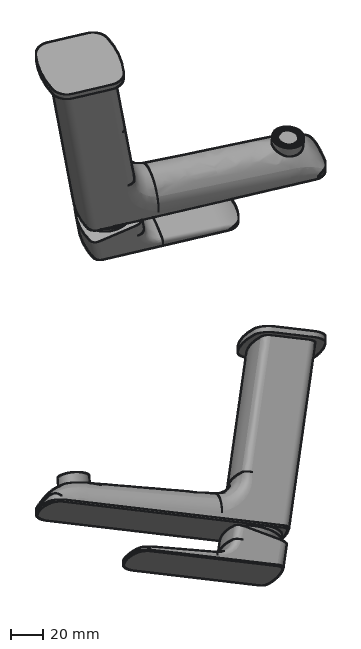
import cadquery as cq
import math


HALF_WIDTH = 18.58
COLUMN_DEPTH = 38.8
CORNER_DEPTH = 7.0
CORNER_RADIUS = 5.3
LEAN = math.radians(7.8)

TOTAL_HEIGHT = 155.3
FLANGE_THICKNESS = 4.0
FLANGE_OVERHANG = 5.4
FLANGE_DEPTH = 50.5
FLANGE_BASE = TOTAL_HEIGHT - FLANGE_THICKNESS
FLANGE_CENTRE_Y = FLANGE_DEPTH / 2
COLUMN_CENTRE_Y = 25.8

ARM_SLOPE = math.radians(2)
SPOUT_BASE = 26.0
SPOUT_TIP_Y = 183.1
SPOUT_SHOULDER_Y = 156.7
SPOUT_SHOULDER_Z = 45.8
SPOUT_CORNER_DEPTH = 17.5
SPOUT_CORNER_RADIUS = 16.5
SPOUT_BLEND = 13.7
LEVER_TIP_Y = 126.5
LEVER_SHOULDER_Y = 111.0
LEVER_SHOULDER_Z = 5.7
LEVER_CORNER_DEPTH = 4.4
LEVER_CORNER_RADIUS = 2.7
LEVER_BLEND = 9.9
TIP_EDGE = 1.5
TIP_CORNER_DEPTH = 11.0
TIP_CORNER_RADIUS = 9.2
TIP_STATIONS = 5
BLEND_STATIONS = 5
BLEND_DEPTH = 21.2
BLEND_OVERLAP = 0.11
BLEND_MARGIN = 0.5
SPOUT_CHAMFER = 1.1
LEVER_CHAMFER = 0.7

HANDLE_TOP_Y = 58.5
HANDLE_TOP_Z = 24.2
HANDLE_TILT = math.radians(14.5)

NECK_RADIUS = 17.0
NECK_RIM = 1.5
NECK_LOW_RADIUS = 12.8
NECK_MID_RADIUS = 15.4
NECK_HEIGHT = 8.8
NECK_EMBED = 7.3

AERATOR_Y = 160.5
AERATOR_RADIUS = 9.9
AERATOR_TOP = 49.8
AERATOR_TILT = 5.0
AERATOR_EMBED = 14.6
GROOVE_OUTER_RADII = (9.0, 7.3)
GROOVE_WIDTH = 1.0
GROOVE_DEPTH = 1.0


def crown(half_width, corner_depth, corner_radius):
    """Points of a bowed end with rounded corners; the crown is at (0, 0) and the body lies below it."""
    inset = half_width - corner_radius
    crown_radius = (inset**2 + corner_depth**2 - corner_radius**2) / (2 * (corner_depth - corner_radius))
    angle = math.asin(inset / (crown_radius - corner_radius))
    half_angle = (angle + math.pi / 2) / 2
    join = (crown_radius * math.sin(angle), crown_radius * (math.cos(angle) - 1))
    middle = (
        inset + corner_radius * math.sin(half_angle),
        corner_radius * math.cos(half_angle) - corner_depth,
    )
    side = (half_width, -corner_depth)
    return side, middle, join


def flattened(corner, share):
    return [(x, depth * share) for x, depth in corner]


def between(first, last, share):
    """Crown points part of the way from one crown to another."""
    return [
        (start[0] + share * (end[0] - start[0]), start[1] + share * (end[1] - start[1]))
        for start, end in zip(first, last)
    ]


def add_crown(sketch, top, corner, facing=1):
    """Draw one bowed end with its crown at (0, top), running from side to side."""
    side, middle, join = corner

    def place(point, x_sign):
        return (facing * x_sign * point[0], top + facing * point[1])

    return (
        sketch.lineTo(*place(side, 1))
        .threePointArc(place(middle, 1), place(join, 1))
        .threePointArc((0, top), place(join, -1))
        .threePointArc(place(middle, -1), place(side, -1))
    )


def one_ended(plane, bottom, top, corner):
    """Outline with a flat bottom and a bowed top."""
    sketch = cq.Workplane(plane).moveTo(HALF_WIDTH, bottom)
    sketch = add_crown(sketch, top, corner)
    return sketch.lineTo(-HALF_WIDTH, bottom).close()


def column_outline(plane, depth=COLUMN_DEPTH, overhang=0.0):
    """Section bowed at front and rear, centred on the plane, its sides and corners grown by the overhang."""
    half_width = HALF_WIDTH + overhang
    corner = crown(half_width, CORNER_DEPTH + overhang, CORNER_RADIUS + overhang)
    sketch = cq.Workplane(plane).moveTo(half_width, 0)
    sketch = add_crown(sketch, depth / 2, corner)
    sketch = add_crown(sketch, -depth / 2, corner, facing=-1)
    return sketch.close()


def column_centre(z):
    return COLUMN_CENTRE_Y + (FLANGE_BASE - z) * math.tan(LEAN)


def column_piece(bottom, top):
    """Leaning length of the column between two heights."""
    start = cq.Plane(origin=(0, column_centre(bottom), bottom))
    wire = column_outline(start).wire().val()
    rise = cq.Vector(0, column_centre(top) - column_centre(bottom), top - bottom)
    return cq.Workplane(cq.Solid.extrudeLinear(wire, [], rise))


def loft(wires, ruled=False):
    return cq.Workplane(cq.Solid.makeLoft(wires, ruled))


def arm(base, tip_y, shoulder_y, shoulder_z, corner):
    """Arched arm running from the column to a tip that curves down and is rounded in plan."""
    start_y = column_centre(base)
    full_height = shoulder_z - base
    tip_length = tip_y - shoulder_y
    tip_drop = full_height - TIP_EDGE
    tip_radius = (tip_length**2 + tip_drop**2) / (2 * tip_drop)

    def section(y, height):
        plane = cq.Plane(origin=(0, y, base), xDir=(1, 0, 0), normal=(0, -1, 0))
        return one_ended(plane, 0, height, flattened(corner, min(1, height / full_height))).wire().val()

    start_height = full_height + (shoulder_y - start_y) * math.tan(ARM_SLOPE)
    straight = loft([section(start_y, start_height), section(shoulder_y, full_height)], ruled=True)

    tip_sections = []
    for i in range(TIP_STATIONS):
        reach = tip_length * math.sin(math.pi / 2 * i / (TIP_STATIONS - 1))
        drop = tip_radius - math.sqrt(tip_radius**2 - reach**2)
        tip_sections.append(section(shoulder_y + reach, full_height - drop))
    tip = loft(tip_sections)

    tip_corner = crown(HALF_WIDTH, TIP_CORNER_DEPTH, TIP_CORNER_RADIUS)
    plan = one_ended(cq.Plane(origin=(0, 0, base)), start_y, tip_y, tip_corner)
    return straight.union(tip).intersect(plan.extrude(start_height))


def blend(radius, base, shoulder_y, shoulder_z, corner):
    """Inside corner between arm and column, its section changing from arched to bowed."""
    front_at_zero = column_centre(0) + COLUMN_DEPTH / 2
    slope = math.tan(ARM_SLOPE)
    arm_at_zero = shoulder_z + shoulder_y * slope
    y_reach = front_at_zero + radius / math.cos(LEAN)
    pivot_z = (arm_at_zero - slope * y_reach + radius / math.cos(ARM_SLOPE)) / (1 - slope * math.tan(LEAN))
    pivot_y = y_reach - pivot_z * math.tan(LEAN)

    column_corner = crown(HALF_WIDTH, CORNER_DEPTH, CORNER_RADIUS)
    first_angle = ARM_SLOPE
    last_angle = math.pi / 2 - LEAN
    top = BLEND_OVERLAP - radius
    wires = []
    for i in range(BLEND_STATIONS):
        share = i / (BLEND_STATIONS - 1)
        angle = first_angle + share * (last_angle - first_angle)
        plane = cq.Plane(
            origin=(0, pivot_y, pivot_z),
            xDir=(1, 0, 0),
            normal=(0, -math.cos(angle), math.sin(angle)),
        )
        bottom = -min(radius + BLEND_DEPTH, (pivot_z - base - BLEND_MARGIN) / math.cos(angle))
        section_corner = between(corner, column_corner, share)
        wires.append(one_ended(plane, bottom, top, section_corner).wire().val())
    return loft(wires)


def flange():
    plane = cq.Plane(origin=(0, FLANGE_CENTRE_Y, FLANGE_BASE))
    return column_outline(plane, FLANGE_DEPTH, FLANGE_OVERHANG).extrude(FLANGE_THICKNESS)


def handle_block():
    """Foot of the column below the tilted top of the handle."""
    block = column_piece(0, SPOUT_BASE)
    tilt = math.tan(HANDLE_TILT)
    front_y = SPOUT_TIP_Y
    above = (
        cq.Workplane("YZ")
        .moveTo(0, HANDLE_TOP_Z - HANDLE_TOP_Y * tilt)
        .lineTo(front_y, HANDLE_TOP_Z + (front_y - HANDLE_TOP_Y) * tilt)
        .lineTo(0, TOTAL_HEIGHT)
        .close()
        .extrude(2 * HALF_WIDTH, both=True)
    )
    return block.cut(above)


def neck():
    """Rounded cartridge cap, coaxial with the leaning column."""
    plane = cq.Plane(
        origin=(0, column_centre(SPOUT_BASE), SPOUT_BASE),
        xDir=(1, 0, 0),
        normal=(0, -math.cos(LEAN), -math.sin(LEAN)),
    )
    middle = (NECK_MID_RADIUS, -(NECK_RIM + NECK_HEIGHT) / 2)
    return (
        cq.Workplane(plane)
        .moveTo(0, NECK_EMBED)
        .lineTo(NECK_RADIUS, NECK_EMBED)
        .lineTo(NECK_RADIUS, -NECK_RIM)
        .threePointArc(middle, (NECK_LOW_RADIUS, -NECK_HEIGHT))
        .lineTo(0, -NECK_HEIGHT)
        .close()
        .revolve(360, (0, 0), (0, 1))
    )


def aerator():
    """Outlet ring with a tilted face and grooves around its centre disc."""
    body = cq.Workplane().circle(AERATOR_RADIUS).extrude(-AERATOR_EMBED)
    for radius in GROOVE_OUTER_RADII:
        groove = cq.Workplane().circle(radius).circle(radius - GROOVE_WIDTH).extrude(-GROOVE_DEPTH)
        body = body.cut(groove)
    tilted = body.rotate((0, 0, 0), (1, 0, 0), -AERATOR_TILT)
    return tilted.translate((0, AERATOR_Y, AERATOR_TOP))


spout_corner = crown(HALF_WIDTH, SPOUT_CORNER_DEPTH, SPOUT_CORNER_RADIUS)
lever_corner = crown(HALF_WIDTH, LEVER_CORNER_DEPTH, LEVER_CORNER_RADIUS)
spout_top = (SPOUT_SHOULDER_Y, SPOUT_SHOULDER_Z, spout_corner)
lever_top = (LEVER_SHOULDER_Y, LEVER_SHOULDER_Z, lever_corner)

body = column_piece(SPOUT_BASE, FLANGE_BASE).union(flange())
body = body.union(arm(SPOUT_BASE, SPOUT_TIP_Y, *spout_top))
body = body.union(blend(SPOUT_BLEND, SPOUT_BASE, *spout_top))
body = body.faces("<Z").edges().chamfer(SPOUT_CHAMFER).union(aerator())

handle = handle_block().union(arm(0, LEVER_TIP_Y, *lever_top)).union(blend(LEVER_BLEND, 0, *lever_top))
handle = handle.faces("<Z").edges().chamfer(LEVER_CHAMFER)

result = body.union(neck()).union(handle)